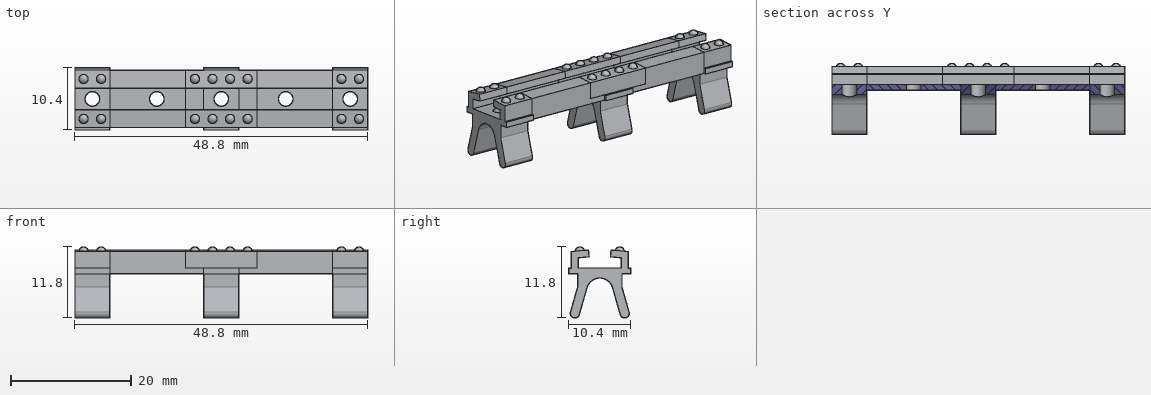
import cadquery as cq
import math

length = 48.8
clip_width = 5.85
clip_pitch = (length - clip_width) / 2
hole_pitch = clip_pitch / 2
saddle_width = 11.9

channel_half_width = 4.8
channel_inner_half_width = 3.55
channel_bottom = 7.35
saddle_bottom = 8.3
channel_floor = 8.35
wall_top = 11.1
lip_thickness = 1.15
lip_tip_y = 1.85
lip_angle = math.radians(5)

flange_width = 10.4
flange_top = saddle_bottom
neck_half_width = 3.7
arch_radius = 2.2
arch_center = 4.45
leg_thickness = 1.55
leg_angle = math.radians(16)

hole_diameter = 2.4
bump_radius = 0.8
bump_top = 11.85
bump_y = 3.3
bump_pitch = 2.95


def extrude_along_x(outline, width, center_x):
    """Extrude an outline drawn in YZ, centred on center_x."""
    return outline.extrude(width / 2, both=True).translate((center_x, 0, 0))


def lip_underside(y):
    """Height of the underside of the sloping lip."""
    return wall_top - lip_thickness / math.cos(lip_angle) + (channel_half_width - y) * math.tan(lip_angle)


def channel(width, center_x, bottom=channel_bottom):
    """Channel with two lips that slope up towards the central slot."""
    tip_top = wall_top + (channel_half_width - lip_tip_y) * math.tan(lip_angle)
    tip_bottom_y = lip_tip_y - lip_thickness * math.sin(lip_angle)
    tip_bottom = tip_top - lip_thickness * math.cos(lip_angle)
    half_outline = [
        (channel_half_width, bottom),
        (channel_half_width, wall_top),
        (lip_tip_y, tip_top),
        (tip_bottom_y, tip_bottom),
        (channel_inner_half_width, lip_underside(channel_inner_half_width)),
        (channel_inner_half_width, channel_floor),
    ]
    mirrored = [(-y, z) for y, z in reversed(half_outline)]
    outline = cq.Workplane("YZ").polyline(half_outline + mirrored).close()
    return extrude_along_x(outline, width, center_x)


def legs(center_x):
    """Two splayed, round-ended legs joined by an arch."""
    cosine = math.cos(leg_angle)
    sine = math.sin(leg_angle)
    tip_radius = leg_thickness / 2
    outer_offset = arch_radius + leg_thickness
    middle_offset = arch_radius + tip_radius
    tip_y = (middle_offset + (arch_center - tip_radius) * sine) / cosine
    kink_z = arch_center + (outer_offset - neck_half_width * cosine) / sine

    outer_y = tip_y + tip_radius * cosine
    outer_z = tip_radius * (1 + sine)
    inner_y = tip_y - tip_radius * cosine
    inner_z = tip_radius * (1 - sine)
    round_y = tip_y + tip_radius * sine
    round_z = tip_radius * (1 - cosine)
    arch_y = arch_radius * cosine
    arch_z = arch_center + arch_radius * sine

    outline = (
        cq.Workplane("YZ")
        .moveTo(-neck_half_width, channel_bottom)
        .lineTo(neck_half_width, channel_bottom)
        .lineTo(neck_half_width, kink_z)
        .lineTo(outer_y, outer_z)
        .threePointArc((round_y, round_z), (inner_y, inner_z))
        .lineTo(arch_y, arch_z)
        .threePointArc((0, arch_center + arch_radius), (-arch_y, arch_z))
        .lineTo(-inner_y, inner_z)
        .threePointArc((-round_y, round_z), (-outer_y, outer_z))
        .lineTo(-neck_half_width, kink_z)
        .close()
    )
    return extrude_along_x(outline, clip_width, center_x)


def flange(center_x):
    """Ledge that stands out from the clip on both sides."""
    height = flange_top - channel_bottom
    plate = cq.Workplane("XY").box(clip_width, flange_width, height, centered=(True, True, False))
    return plate.translate((center_x, 0, channel_bottom))


def bumps(center_x, count):
    """Two rows of evenly spaced round bumps on the lips."""
    return (
        cq.Workplane("XY", origin=(center_x, 0, bump_top - bump_radius))
        .rarray(bump_pitch, 2 * bump_y, count, 2)
        .sphere(bump_radius)
    )


def cut_hole(body, center_x):
    """Drill a vertical through hole on the centre line."""
    drill = cq.Workplane("XY").center(center_x, 0).circle(hole_diameter / 2).extrude(bump_top)
    return body.cut(drill)


def end_clip(center_x):
    """Clip at an end of the assembly."""
    body = channel(clip_width, center_x).union(legs(center_x)).union(flange(center_x))
    return cut_hole(body.union(bumps(center_x, 2)), center_x)


def center_clip():
    """Middle clip, whose channel is a wider saddle resting on the ends of both rails."""
    saddle = channel(saddle_width, 0, saddle_bottom)
    body = channel(clip_width, 0).union(saddle).union(legs(0)).union(flange(0))
    return cut_hole(body.union(bumps(0, 4)), 0)


def rail(center_x):
    """Channel between two clips, cut away where the saddle rests on it."""
    rail_length = clip_pitch - clip_width
    saddle_space = (
        cq.Workplane("XY", origin=(0, 0, saddle_bottom))
        .box(saddle_width, 2 * channel_half_width, bump_top, centered=(True, True, False))
    )
    body = channel(rail_length, center_x).cut(saddle_space)
    return cut_hole(body, center_x)


end_clips = [end_clip(side * clip_pitch) for side in (-1, 1)]
middle_clip = center_clip()
rails = [rail(side * hole_pitch) for side in (-1, 1)]

bodies = [*end_clips, middle_clip, *rails]
result = cq.Compound.makeCompound([body.val() for body in bodies])